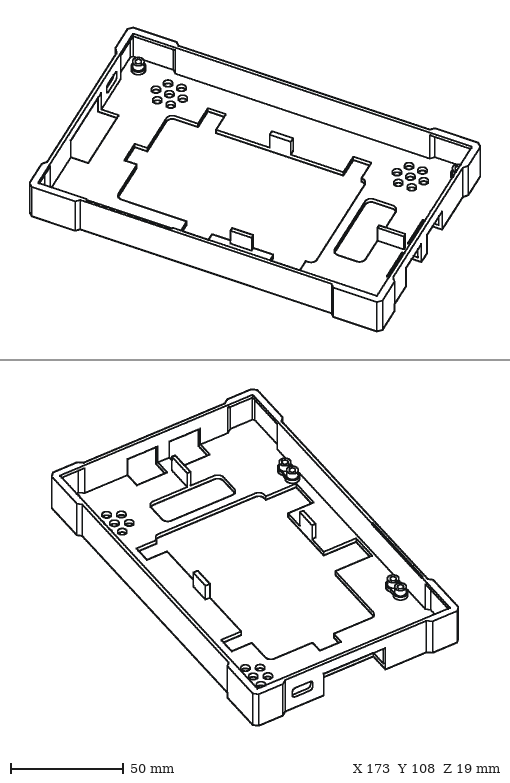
import cadquery as cq
import math

length = 173.0
width = 108.0
height = 19.0
floor_thickness = 2.2
wall_thickness = 1.7

pad_step = 1.7
pad_chamfer = 1.9
pad_end_x = 63.3
pad_end_y = 39.3
pad_ramp_x = 1.7
pad_ramp_y = 2.2
lip_height = 1.7

inner_x = length / 2 - pad_step - wall_thickness
inner_y = width / 2 - pad_step - wall_thickness
cut_margin = 1.7

main_opening = (-54.5, 42.7, -29.8, 26.8)
opening_radius = 3.0
lower_ledge_y = -32.2
lower_slot_left = (-19.7, -6.2)
lower_slot_left_end = -49.1
lower_slot_right = (23.9, 38.5)
lower_slot_right_end = -45.7
upper_slots = [(-40.3, -31.5), (31.0, 39.8)]
upper_slot_end = 37.4
side_slot_end = -60.7
side_slot_y = (-7.3, 3.8)

oval_window = (47.2, 62.3, -20.5, 17.5)

left_notch_y = (-15.5, 16.8)
left_notch_inner_x = -74.5
left_notch_top = 13.0
port_y_ranges = [(-0.9, 15.0), (-23.2, -7.0)]
port_inner_x = 75.3
port_top = 11.8

switch_y = (22.7, 33.2)
switch_z = (6.4, 11.8)
switch_radius = 1.5

upright_top = 10.5
rear_tab_x = (-5.2, 5.2)
rear_tab_thickness = 2.5
front_tab_x = (3.6, 14.0)
front_tab_thickness = 1.9
rib_y = (-5.0, -3.3)

standoff_base_radius = 3.3
standoff_base_height = 1.7
standoff_radius = 2.6
standoff_height = 5.0
screw_radius = 1.4
standoff_y = 46.0
rear_standoff_x = 78.4
front_pair_x = 45.5
front_pair_pitch = 6.2

grille_centers = [(-59.5, 38.0), (59.2, 36.8)]
grille_pitch = 6.5
grille_hole_radius = 2.0

rim_step_x = (-59.2, -17.1)
rim_step_size = 0.5
ridge_centers_y = [6.7, -15.0]
ridge_width = 2.5
ridge_depth = 0.2


def box(x_range, y_range, z_range):
    """Box spanning the given coordinate ranges."""
    return (
        cq.Workplane("XY")
        .box(
            x_range[1] - x_range[0],
            y_range[1] - y_range[0],
            z_range[1] - z_range[0],
            centered=False,
        )
        .translate((x_range[0], y_range[0], z_range[0]))
    )


def floor_cut(x_range, y_range):
    """Box that cuts through the floor."""
    return box(x_range, y_range, (-cut_margin, floor_thickness + cut_margin))


def cylinder(x, y, radius, z_range):
    """Vertical cylinder."""
    return (
        cq.Workplane("XY", origin=(x, y, z_range[0]))
        .circle(radius)
        .extrude(z_range[1] - z_range[0])
    )


def padded_outline():
    """Closed tray outline with stepped pads at its chamfered corners."""
    x_pad = length / 2
    y_pad = width / 2
    x_run = x_pad - pad_step
    y_run = y_pad - pad_step
    quadrant = [
        (x_run, pad_end_y - pad_ramp_y),
        (x_pad, pad_end_y),
        (x_pad, y_pad - pad_chamfer),
        (x_pad - pad_chamfer, y_pad),
        (pad_end_x, y_pad),
        (pad_end_x - pad_ramp_x, y_run),
    ]
    points = []
    for sign_x, sign_y in [(1, 1), (-1, 1), (-1, -1), (1, -1)]:
        corner = [(sign_x * x, sign_y * y) for x, y in quadrant]
        points += corner if sign_x == sign_y else corner[::-1]
    return cq.Workplane("XY").polyline(points).close()


def tray_shell():
    """Tray with an even wall below a straight-sided rim lip."""
    lip_bottom = height - lip_height
    cavity_outline = padded_outline().offset2D(-wall_thickness, "intersection")
    cavity = cavity_outline.extrude(lip_bottom - floor_thickness)
    rim_opening = box(
        (-inner_x, inner_x), (-inner_y, inner_y), (floor_thickness, height + cut_margin)
    )
    shell = padded_outline().extrude(height)
    return shell.cut(cavity.translate((0, 0, floor_thickness))).cut(rim_opening)


def rounded_floor_cut(bounds):
    """Floor cut with rounded vertical edges."""
    x_min, x_max, y_min, y_max = bounds
    return floor_cut((x_min, x_max), (y_min, y_max)).edges("|Z").fillet(opening_radius)


def main_opening_cut():
    """Large floor opening with its side slots."""
    x_min, x_max, y_min, y_max = main_opening
    middle_x = (x_min + x_max) / 2
    cut = rounded_floor_cut(main_opening)
    for slot_x in upper_slots:
        cut = cut.union(floor_cut(slot_x, (y_max - opening_radius, upper_slot_end)))
    lower_slots = [
        (lower_slot_left, lower_slot_left_end),
        (lower_slot_right, lower_slot_right_end),
        ((lower_slot_left[1], lower_slot_right[0]), lower_ledge_y),
    ]
    for slot_x, slot_end in lower_slots:
        cut = cut.union(floor_cut(slot_x, (slot_end, y_min + opening_radius)))
    return cut.union(floor_cut((side_slot_end, middle_x), side_slot_y))


def end_wall_cuts():
    """Left notch and right ports, each open through the wall and the floor."""
    outside = length / 2 + cut_margin
    wall_notch = box((-outside, -inner_x), left_notch_y, (-cut_margin, left_notch_top))
    cuts = wall_notch.union(floor_cut((-outside, left_notch_inner_x), left_notch_y))
    for port_y in port_y_ranges:
        cuts = cuts.union(box((inner_x, outside), port_y, (-cut_margin, port_top)))
        cuts = cuts.union(floor_cut((port_inner_x, outside), port_y))
    switch_slot = box((-outside, -inner_x), switch_y, switch_z)
    return cuts.union(switch_slot.edges("|X").fillet(switch_radius))


def grille_cut(center_x, center_y):
    """Seven round holes on a hexagonal pattern."""
    ring_angles = [math.radians(60 * index) for index in range(6)]
    hole_places = [(center_x, center_y)]
    for angle in ring_angles:
        hole_x = center_x + grille_pitch * math.cos(angle)
        hole_places.append((hole_x, center_y + grille_pitch * math.sin(angle)))
    return (
        cq.Workplane("XY")
        .pushPoints(hole_places)
        .circle(grille_hole_radius)
        .extrude(floor_thickness)
    )


def uprights():
    """Two tabs flush with the large opening and one rib beside the oval window."""
    z_range = (0, upright_top)
    rear_edge = main_opening[3]
    rear_tab = box(rear_tab_x, (rear_edge, rear_edge + rear_tab_thickness), z_range)
    front_tab = box(front_tab_x, (lower_ledge_y - front_tab_thickness, lower_ledge_y), z_range)
    rib = box((oval_window[1], port_inner_x), rib_y, z_range)
    return rear_tab.union(front_tab).union(rib)


def add_standoffs(body):
    """Stepped screw standoffs, the front ones in webbed pairs."""
    base_top = floor_thickness + standoff_base_height
    standoff_top = floor_thickness + standoff_height
    places = [(-rear_standoff_x, standoff_y), (rear_standoff_x, standoff_y)]
    for pair_x in (-front_pair_x, front_pair_x):
        pair = (pair_x - front_pair_pitch / 2, pair_x + front_pair_pitch / 2)
        web_y = (-standoff_y - standoff_radius, -standoff_y + standoff_radius)
        body = body.union(box(pair, web_y, (0, base_top)))
        places += [(x, -standoff_y) for x in pair]
    for x, y in places:
        body = body.union(cylinder(x, y, standoff_base_radius, (0, base_top)))
        body = body.union(cylinder(x, y, standoff_radius, (0, standoff_top)))
    for x, y in places:
        body = body.cut(cylinder(x, y, screw_radius, (-cut_margin, standoff_top + cut_margin)))
    return body


def rim_step_cut():
    """Small square step along the inner top edge of the front wall."""
    return box(
        rim_step_x,
        (-inner_y - rim_step_size, -inner_y + cut_margin),
        (height - rim_step_size, height + cut_margin),
    )


def port_ridge(center_y):
    """Low triangular ridge on the right wall, from port top to rim."""
    return (
        cq.Workplane("XY", origin=(inner_x, center_y, port_top))
        .polyline([(0, -ridge_width / 2), (-ridge_depth, 0), (0, ridge_width / 2)])
        .close()
        .extrude(height - port_top)
    )


body = tray_shell()
body = body.cut(main_opening_cut())
body = body.cut(rounded_floor_cut(oval_window))
body = body.cut(end_wall_cuts())
for grille_x, grille_y in grille_centers:
    body = body.cut(grille_cut(grille_x, grille_y))
body = body.cut(rim_step_cut())
body = body.union(uprights())
body = add_standoffs(body)
for ridge_y in ridge_centers_y:
    body = body.union(port_ridge(ridge_y))

result = body